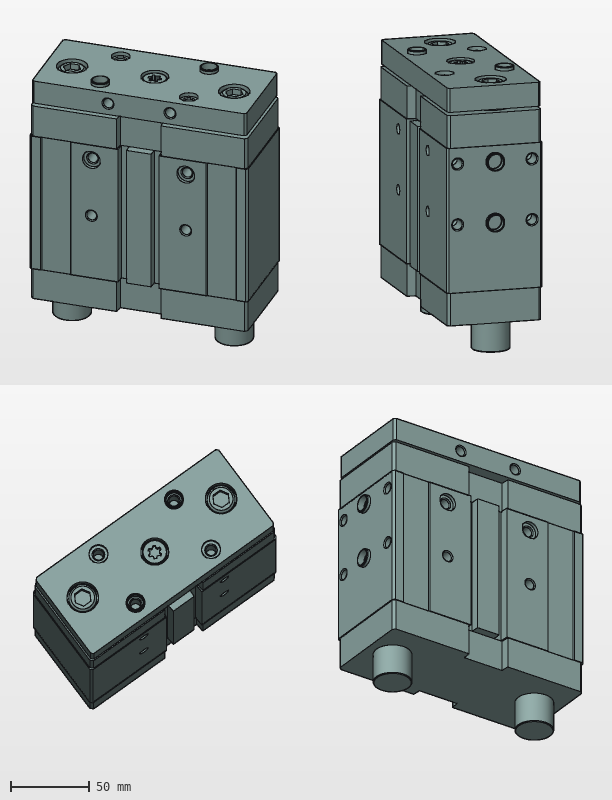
import cadquery as cq
import math


HOUSING_WIDTH = 147.7
HOUSING_DEPTH = 64.0
HOUSING_HEIGHT = 95.2
HOUSING_CHAMFER = 1.5
COVER_WIDTH = 146.5
COVER_DEPTH = 63.0
COVER_HEIGHT = 21.5
COVER_CHAMFER = 1.8

HOUSING_BOTTOM = COVER_HEIGHT
HOUSING_TOP = HOUSING_BOTTOM + HOUSING_HEIGHT
FRONT_COVER_TOP = HOUSING_TOP + COVER_HEIGHT

GROOVE_FLOOR_Y = 25.6
COVER_GROOVE_WIDTH = 30.1
COVER_GROOVE_TAPER = 0.5
HOUSING_GROOVE_WIDTH = 28.0
HOUSING_GROOVE_TAPER = 0.4
RIB_WIDTH = 16.5
RIB_TAPER = 0.4
RIB_FACE_Y = 31.4

RECESS_INNER_X = 45.7
RECESS_OUTER_X = 66.2
RECESS_DEPTH = 0.7
RECESS_TAPER = 0.5

PLATE_WIDTH = 144.9
PLATE_DEPTH = 62.0
PLATE_HEIGHT = 15.8
PLATE_CHAMFER = 1.5
PLATE_GAP = 2.0
PLATE_BOTTOM = FRONT_COVER_TOP + PLATE_GAP
PLATE_TOP = PLATE_BOTTOM + PLATE_HEIGHT

GUIDE_ROD_DIAMETER = 25.0
GUIDE_ROD_X = 54.9
GUIDE_ROD_Y = -3.0
GUIDE_ROD_OVERHANG = 20.8
GUIDE_ROD_CHAMFER = 0.5
GUIDE_ROD_CENTERS = [(-GUIDE_ROD_X, GUIDE_ROD_Y), (GUIDE_ROD_X, GUIDE_ROD_Y)]
PISTON_ROD_DIAMETER = 16.0

GUIDE_SEAT_DIAMETER = 20.0
GUIDE_HEAD_DIAMETER = 18.0
GUIDE_HEAD_CHAMFER = 1.5
GUIDE_HEAD_DROP = 1.0
HEX_ACROSS_CORNERS = 11.5

PISTON_SEAT_DIAMETER = 18.0
PISTON_HEAD_DIAMETER = 16.0
PISTON_HEAD_CHAMFER = 0.5
PISTON_HEAD_DROP = 1.0
LOBE_COUNT = 6
LOBE_TIP_RADIUS = 8.8 / 2
LOBE_ROOT_RADIUS = 6.3 / 2
LOBE_HALF_ANGLE = 9

SEAT_DEPTH = 5.0

THREAD_MOUTH_DIAMETER = 8.0
THREAD_CORE_DIAMETER = 6.6
THREAD_CHAMFER = (THREAD_MOUTH_DIAMETER - THREAD_CORE_DIAMETER) / 2
BLIND_HOLE_DEPTH = 12.0
DRILL_POINT_ANGLE = 118

SLEEVE_DIAMETER = 12.0
SLEEVE_BORE = 10.2
SLEEVE_LENGTH = 5.0
SLEEVE_SEAT_DEPTH = SLEEVE_LENGTH / 2
SLEEVE_CHAMFER = 0.5

PORT_PITCH_Z = 40.0
UPPER_HOLE_Z = HOUSING_TOP - 10.4
LOWER_HOLE_Z = UPPER_HOLE_Z - PORT_PITCH_Z
HOUSING_HOLE_X = 32.0
SIDE_HOLE_Y = 25.0

PLATE_HOLE_X = 30.0
PLATE_HOLE_Y = 20.0
PLATE_FRONT_HOLE_X = 21.0
PLATE_FRONT_HOLE_Z = PLATE_BOTTOM + PLATE_HEIGHT / 2

DOWN = cq.Vector(0, 0, -1)
INTO_LEFT_FACE = cq.Vector(1, 0, 0)
INTO_FRONT_FACE = cq.Vector(0, 1, 0)


def cylinder(diameter, length, start, direction):
    return cq.Solid.makeCylinder(diameter / 2, length, cq.Vector(*start), direction)


def chamfered_block(width, depth, height, chamfer, bottom):
    block = cq.Workplane("XY").workplane(offset=bottom).rect(width, depth).extrude(height)
    return block.edges("|Z").chamfer(chamfer)


def tapered_bar(center_x, near_y, near_width, far_y, far_width, bottom, height):
    """Upright bar of trapezoid section whose width changes from near_y to far_y."""
    return (
        cq.Workplane("XY")
        .workplane(offset=bottom)
        .moveTo(center_x - near_width / 2, near_y)
        .lineTo(center_x + near_width / 2, near_y)
        .lineTo(center_x + far_width / 2, far_y)
        .lineTo(center_x - far_width / 2, far_y)
        .close()
        .extrude(height)
    )


def cut_central_grooves(block, mouth_width, taper, face_y, bottom, height):
    floor_width = mouth_width - 2 * taper
    for side in (-1, 1):
        groove = tapered_bar(
            0, side * face_y, mouth_width, side * GROOVE_FLOOR_Y, floor_width, bottom, height
        )
        block = block.cut(groove)
    return block


def thread_mouth(start, direction):
    """Countersink at the mouth of a threaded hole."""
    return cq.Solid.makeCone(
        THREAD_MOUTH_DIAMETER / 2, THREAD_CORE_DIAMETER / 2, THREAD_CHAMFER, cq.Vector(*start), direction
    )


def blind_thread(start, direction):
    """Blind hole with a countersunk mouth and a drill point."""
    core_radius = THREAD_CORE_DIAMETER / 2
    point_height = core_radius / math.tan(math.radians(DRILL_POINT_ANGLE / 2))
    core = cylinder(THREAD_CORE_DIAMETER, BLIND_HOLE_DEPTH, start, direction)
    point_start = cq.Vector(*start) + direction * BLIND_HOLE_DEPTH
    point = cq.Solid.makeCone(core_radius, 0, point_height, point_start, direction)
    return core.fuse(point).fuse(thread_mouth(start, direction))


def through_thread(start, direction, length):
    """Through hole with a countersink at its mouth."""
    core = cylinder(THREAD_CORE_DIAMETER, length, start, direction)
    return core.fuse(thread_mouth(start, direction))


def sleeve_seat(start, direction):
    return cylinder(SLEEVE_DIAMETER, SLEEVE_SEAT_DEPTH, start, direction)


def seated_thread(start, direction, length):
    """Threaded through hole behind a seat for a centring sleeve."""
    seat_floor = cq.Vector(*start) + direction * SLEEVE_SEAT_DEPTH
    thread = through_thread(seat_floor.toTuple(), direction, length - SLEEVE_SEAT_DEPTH)
    return thread.fuse(sleeve_seat(start, direction))


def make_housing():
    housing = chamfered_block(HOUSING_WIDTH, HOUSING_DEPTH, HOUSING_HEIGHT, HOUSING_CHAMFER, HOUSING_BOTTOM)
    housing = cut_central_grooves(
        housing, HOUSING_GROOVE_WIDTH, HOUSING_GROOVE_TAPER, HOUSING_DEPTH / 2, HOUSING_BOTTOM, HOUSING_HEIGHT
    )
    housing = add_ribs(housing)
    housing = cut_front_recesses(housing)
    for x, y in GUIDE_ROD_CENTERS:
        housing = housing.cut(cylinder(GUIDE_ROD_DIAMETER, HOUSING_HEIGHT, (x, y, HOUSING_TOP), DOWN))
    housing = cut_mounting_holes(housing)
    return cut_side_holes(housing)


def add_ribs(housing):
    """A rib in each central groove, widening towards the groove floor."""
    base_width = RIB_WIDTH + 2 * RIB_TAPER
    for side in (-1, 1):
        rib = tapered_bar(
            0, side * RIB_FACE_Y, RIB_WIDTH, side * GROOVE_FLOOR_Y, base_width, HOUSING_BOTTOM, HOUSING_HEIGHT
        )
        housing = housing.union(rib)
    return housing


def cut_front_recesses(housing):
    front_y = -HOUSING_DEPTH / 2
    floor_y = front_y + RECESS_DEPTH
    center_x = (RECESS_INNER_X + RECESS_OUTER_X) / 2
    mouth_width = RECESS_OUTER_X - RECESS_INNER_X
    floor_width = mouth_width - 2 * RECESS_TAPER
    for side in (-1, 1):
        recess = tapered_bar(
            side * center_x, front_y, mouth_width, floor_y, floor_width, HOUSING_BOTTOM, HOUSING_HEIGHT
        )
        housing = housing.cut(recess)
    return housing


def cut_mounting_holes(housing):
    """Holes through the depth of the housing; the upper pair has sleeve seats."""
    front_y = -HOUSING_DEPTH / 2
    for x in (-HOUSING_HOLE_X, HOUSING_HOLE_X):
        housing = housing.cut(seated_thread((x, front_y, UPPER_HOLE_Z), INTO_FRONT_FACE, HOUSING_DEPTH))
        housing = housing.cut(through_thread((x, front_y, LOWER_HOLE_Z), INTO_FRONT_FACE, HOUSING_DEPTH))
    return housing


def cut_side_holes(housing):
    """Blind threads and sleeve seats in the left side."""
    left_x = -HOUSING_WIDTH / 2
    for z in (UPPER_HOLE_Z, LOWER_HOLE_Z):
        housing = housing.cut(sleeve_seat((left_x, 0, z), INTO_LEFT_FACE))
        for y in (-SIDE_HOLE_Y, SIDE_HOLE_Y):
            housing = housing.cut(blind_thread((left_x, y, z), INTO_LEFT_FACE))
    return housing


def make_cover(bottom, has_piston_rod_hole):
    cover = chamfered_block(COVER_WIDTH, COVER_DEPTH, COVER_HEIGHT, COVER_CHAMFER, bottom)
    cover = cut_central_grooves(
        cover, COVER_GROOVE_WIDTH, COVER_GROOVE_TAPER, COVER_DEPTH / 2, bottom, COVER_HEIGHT
    )
    top = bottom + COVER_HEIGHT
    for x, y in GUIDE_ROD_CENTERS:
        cover = cover.cut(cylinder(GUIDE_ROD_DIAMETER, COVER_HEIGHT, (x, y, top), DOWN))
    if has_piston_rod_hole:
        cover = cover.cut(cylinder(PISTON_ROD_DIAMETER, COVER_HEIGHT, (0, 0, top), DOWN))
    return cover


def make_plate():
    plate = chamfered_block(PLATE_WIDTH, PLATE_DEPTH, PLATE_HEIGHT, PLATE_CHAMFER, PLATE_BOTTOM)
    for x in (-PLATE_HOLE_X, PLATE_HOLE_X):
        for y in (-PLATE_HOLE_Y, PLATE_HOLE_Y):
            plate = plate.cut(seated_thread((x, y, PLATE_TOP), DOWN, PLATE_HEIGHT))
    front_y = -PLATE_DEPTH / 2
    for x in (-PLATE_FRONT_HOLE_X, PLATE_FRONT_HOLE_X):
        plate = plate.cut(blind_thread((x, front_y, PLATE_FRONT_HOLE_Z), INTO_FRONT_FACE))
    return plate


def make_guide_screw_head(x, y):
    seat_floor = PLATE_TOP - SEAT_DEPTH
    head_height = SEAT_DEPTH - GUIDE_HEAD_DROP
    return (
        cq.Workplane("XY")
        .workplane(offset=seat_floor)
        .center(x, y)
        .circle(GUIDE_HEAD_DIAMETER / 2)
        .extrude(head_height)
        .faces(">Z")
        .chamfer(GUIDE_HEAD_CHAMFER)
        .faces(">Z")
        .workplane()
        .polygon(6, HEX_ACROSS_CORNERS)
        .cutBlind(-head_height)
    )


def lobe_points():
    """Outline of the six-lobed socket: a flat-tipped star with its tips at multiples of 60 degrees."""
    points = []
    for lobe in range(LOBE_COUNT):
        tip_angle = lobe * 360 / LOBE_COUNT
        root_angle = tip_angle + 180 / LOBE_COUNT
        for center_angle, radius in ((tip_angle, LOBE_TIP_RADIUS), (root_angle, LOBE_ROOT_RADIUS)):
            for offset in (-LOBE_HALF_ANGLE, LOBE_HALF_ANGLE):
                angle = math.radians(center_angle + offset)
                points.append((radius * math.cos(angle), radius * math.sin(angle)))
    return points


def make_piston_screw_head():
    head_height = SEAT_DEPTH - PISTON_HEAD_DROP
    return (
        cq.Workplane("XY")
        .workplane(offset=PLATE_TOP - SEAT_DEPTH)
        .circle(PISTON_HEAD_DIAMETER / 2)
        .extrude(head_height)
        .faces(">Z")
        .chamfer(PISTON_HEAD_CHAMFER)
        .faces(">Z")
        .workplane()
        .polyline(lobe_points())
        .close()
        .cutBlind(-head_height)
    )


def make_guide_rod(x, y):
    length = GUIDE_ROD_OVERHANG + PLATE_BOTTOM
    rod = cq.Workplane(cylinder(GUIDE_ROD_DIAMETER, length, (x, y, PLATE_BOTTOM), DOWN))
    return rod.faces("<Z").chamfer(GUIDE_ROD_CHAMFER)


def make_carriage():
    carriage = make_plate()
    for x, y in GUIDE_ROD_CENTERS:
        carriage = carriage.union(make_guide_rod(x, y))
        carriage = carriage.cut(cylinder(GUIDE_SEAT_DIAMETER, SEAT_DEPTH, (x, y, PLATE_TOP), DOWN))
        carriage = carriage.union(make_guide_screw_head(x, y))
    piston_rod_length = PLATE_BOTTOM - HOUSING_TOP
    carriage = carriage.union(
        cq.Workplane(cylinder(PISTON_ROD_DIAMETER, piston_rod_length, (0, 0, PLATE_BOTTOM), DOWN))
    )
    carriage = carriage.cut(cylinder(PISTON_SEAT_DIAMETER, SEAT_DEPTH, (0, 0, PLATE_TOP), DOWN))
    return carriage.union(make_piston_screw_head())


def make_sleeve(face_point, inward):
    """Tube half sunk into the face at face_point, with both outer ends chamfered."""
    start = cq.Vector(*face_point) + inward * (SLEEVE_SEAT_DEPTH - SLEEVE_LENGTH)
    plane = cq.Plane(origin=start.toTuple(), normal=inward.toTuple())
    return (
        cq.Workplane(plane)
        .circle(SLEEVE_DIAMETER / 2)
        .extrude(SLEEVE_LENGTH)
        .edges()
        .chamfer(SLEEVE_CHAMFER)
        .cut(cq.Workplane(plane).circle(SLEEVE_BORE / 2).extrude(SLEEVE_LENGTH))
    )


def make_sleeves():
    left_x = -HOUSING_WIDTH / 2
    places = [
        ((-PLATE_HOLE_X, -PLATE_HOLE_Y, PLATE_TOP), DOWN),
        ((PLATE_HOLE_X, PLATE_HOLE_Y, PLATE_TOP), DOWN),
        ((left_x, 0, UPPER_HOLE_Z), INTO_LEFT_FACE),
        ((left_x, 0, LOWER_HOLE_Z), INTO_LEFT_FACE),
    ]
    return [make_sleeve(point, inward) for point, inward in places]


housing = make_housing()
rear_cover = make_cover(0, has_piston_rod_hole=False)
front_cover = make_cover(HOUSING_TOP, has_piston_rod_hole=True)
carriage = make_carriage()
sleeves = make_sleeves()

result = cq.Compound.makeCompound(
    [
        housing.val(),
        rear_cover.val(),
        front_cover.val(),
        carriage.val(),
        *[sleeve.val() for sleeve in sleeves],
    ]
)